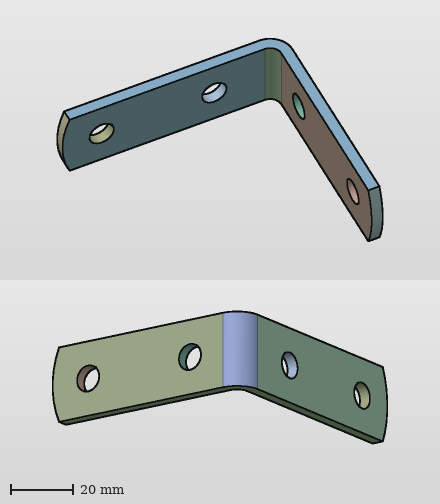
import cadquery as cq
import math

leg_x = 74.85
leg_y = 79.9
width = 25.0
thickness = 4.0
outer_bend_radius = 8.0
inner_bend_radius = outer_bend_radius - thickness

tip_radius = 31.95
tip_rise = tip_radius - math.sqrt(tip_radius**2 - (width / 2)**2)

hole_diameter = 8.6
hole_from_tip = 14.0
hole_spacing = 40.0


def bent_strip():
    """L-shaped strip with its outer corner at X = 0, Y = 0, centred on Z = 0."""
    return (
        cq.Workplane("XY")
        .polyline([(0, -leg_y), (0, 0), (leg_x, 0), (leg_x, -thickness),
                   (thickness, -thickness), (thickness, -leg_y)])
        .close()
        .extrude(width / 2, both=True)
        .edges(cq.selectors.NearestToPointSelector((0, 0, 0)))
        .fillet(outer_bend_radius)
        .edges(cq.selectors.NearestToPointSelector((thickness, -thickness, 0)))
        .fillet(inner_bend_radius)
    )


def leg_envelope(plane, length, depth):
    """Round-ended outline with two holes, extruded both ways through one leg."""
    half_width = width / 2
    return (
        cq.Workplane(plane)
        .moveTo(0, -half_width)
        .lineTo(length - tip_rise, -half_width)
        .threePointArc((length, 0), (length - tip_rise, half_width))
        .lineTo(0, half_width)
        .close()
        .pushPoints([(length - hole_from_tip - i * hole_spacing, 0) for i in range(2)])
        .circle(hole_diameter / 2)
        .extrude(depth, both=True)
    )


x_leg_plane = cq.Plane(origin=(0, 0, 0), xDir=(1, 0, 0), normal=(0, -1, 0))
y_leg_plane = cq.Plane(origin=(0, 0, 0), xDir=(0, -1, 0), normal=(-1, 0, 0))

result = (
    bent_strip()
    .intersect(
        leg_envelope(x_leg_plane, leg_x, outer_bend_radius)
        .union(leg_envelope(y_leg_plane, leg_y, outer_bend_radius))
    )
)